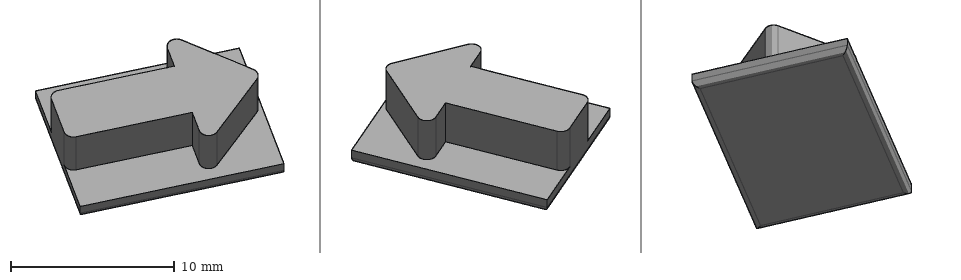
import cadquery as cq

plate_width = 10.0
plate_length = 13.0
plate_thickness = 1.0
bottom_edge_radius = 0.4

total_height = 4.0
arrow_height = total_height - plate_thickness
shaft_width = 4.0
arrow_corner_radius = 0.6

head_half_width = plate_width / 2
head_length = head_half_width
shaft_half_width = shaft_width / 2
tip_y = plate_length / 2
tail_y = -plate_length / 2
head_base_y = tip_y - head_length


def make_plate():
    """Rectangular plate with rounded bottom edges."""
    plate = cq.Workplane("XY").box(
        plate_width, plate_length, plate_thickness, centered=(True, True, False)
    )
    return plate.faces("<Z").edges().fillet(bottom_edge_radius)


def make_arrow():
    """Arrow prism with rounded convex corners and sharp inner corners."""
    arrow = (
        cq.Workplane("XY", origin=(0, 0, plate_thickness))
        .moveTo(-shaft_half_width, tail_y)
        .lineTo(shaft_half_width, tail_y)
        .lineTo(shaft_half_width, head_base_y)
        .lineTo(head_half_width, head_base_y)
        .lineTo(0, tip_y)
        .lineTo(-head_half_width, head_base_y)
        .lineTo(-shaft_half_width, head_base_y)
        .close()
        .extrude(arrow_height)
    )
    convex_edges = "(|Z) and (<X or >X or <Y or >Y)"
    return arrow.edges(convex_edges).fillet(arrow_corner_radius)


result = make_plate().union(make_arrow())